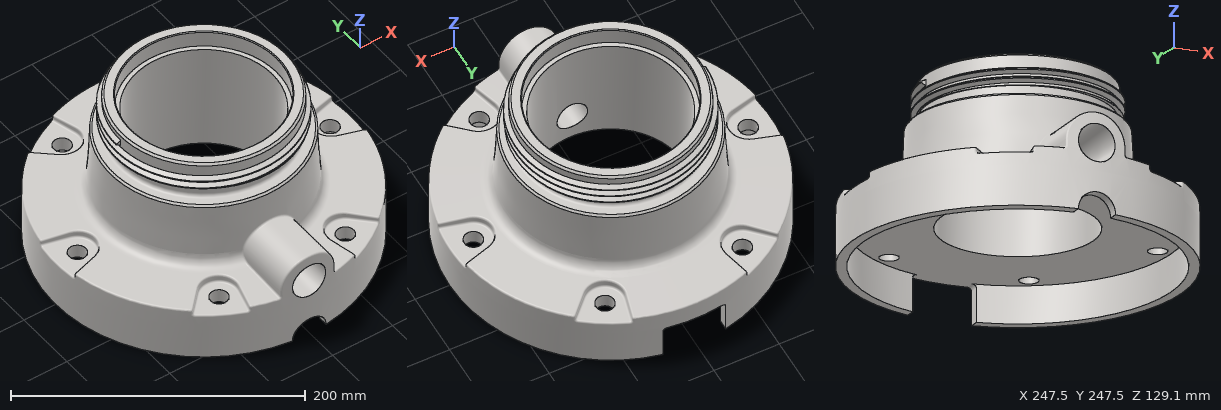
import cadquery as cq
import math

FLANGE_RADIUS = 123.75
PARTING_HEIGHT = 29.0
DRAFT_ANGLE = 1.0
FLANGE_EDGE_HEIGHT = 43.3
RIM_ROUND = 1.5

NECK_FOOT_RADIUS = 88.6
NECK_FOOT_HEIGHT = 45.2
NECK_BASE_RADIUS = 79.7
NECK_BASE_HEIGHT = 54.4
NECK_TOP_RADIUS = 77.4
SHOULDER_HEIGHT = 97.6
SHOULDER_CHAMFER = 1.5

PART_HEIGHT = 129.11
SPOUT_RADIUS = 69.3
SPOUT_CHAMFER = 1.6
RELIEF_RADIUS = 68.2
RELIEF_FILLET = 3.0
RELIEF_TOP = 106.0
THREAD_CREST_RADIUS = 72.8
THREAD_PITCH = 6.35
THREAD_TURNS = 3
THREAD_END_HEIGHT = 121.6
THREAD_CREST_WIDTH = 0.8
THREAD_ROOT_WIDTH = 5.2
THREAD_OVERLAP = 0.6

BORE_RADIUS = 57.0
COUNTERBORE_RADIUS = 60.5
COUNTERBORE_DEPTH = 13.5
COUNTERBORE_CHAMFER = 0.7
CAVITY_RADIUS = 116.0
CAVITY_HEIGHT = 27.4

PORT_HEIGHT = 49.6
PORT_RADIUS = 22.3
PORT_MOUTH_RADIUS = 13.8
PORT_BORE_TAPER = 1 / 32
PORT_ROOT_FILLET = 1.5

DRAIN_RADIUS = 14.0
BACK_NOTCH_WIDTH = 48.0
BACK_NOTCH_CORNER = 3.0

BOLT_COUNT = 6
BOLT_CIRCLE_RADIUS = 105.4
BOLT_HOLE_RADIUS = 6.9
SEAT_FLOOR = 38.8
SEAT_RADIUS = 14.6
SEAT_FLARE_ANGLE = 15.0
SEAT_FLOOR_FILLET = 1.8
SEAT_EDGE_ROUND = 1.5

CLEARANCE = 10.0
TOLERANCE = 0.1


def rim_radius(height):
    """Radius of the drafted rim at a height above the parting line."""
    return FLANGE_RADIUS - (height - PARTING_HEIGHT) * math.tan(math.radians(DRAFT_ANGLE))


def cylinder(radius, bottom, top):
    return cq.Workplane("XY").workplane(offset=bottom).circle(radius).extrude(top - bottom)


def turned_body():
    """Flange, neck and unthreaded spout as one solid of revolution."""
    profile = (
        cq.Workplane("XZ")
        .lineTo(FLANGE_RADIUS, 0)
        .lineTo(FLANGE_RADIUS, PARTING_HEIGHT)
        .lineTo(rim_radius(FLANGE_EDGE_HEIGHT), FLANGE_EDGE_HEIGHT)
        .lineTo(NECK_FOOT_RADIUS, NECK_FOOT_HEIGHT)
        .tangentArcPoint((NECK_BASE_RADIUS, NECK_BASE_HEIGHT), relative=False)
        .lineTo(NECK_TOP_RADIUS, SHOULDER_HEIGHT - SHOULDER_CHAMFER)
        .lineTo(NECK_TOP_RADIUS - SHOULDER_CHAMFER, SHOULDER_HEIGHT)
        .lineTo(RELIEF_RADIUS + RELIEF_FILLET, SHOULDER_HEIGHT)
        .radiusArc((RELIEF_RADIUS, SHOULDER_HEIGHT + RELIEF_FILLET), RELIEF_FILLET)
        .lineTo(RELIEF_RADIUS, RELIEF_TOP)
        .lineTo(SPOUT_RADIUS, RELIEF_TOP)
        .lineTo(SPOUT_RADIUS, PART_HEIGHT - SPOUT_CHAMFER)
        .lineTo(SPOUT_RADIUS - SPOUT_CHAMFER, PART_HEIGHT)
        .lineTo(0, PART_HEIGHT)
        .close()
    )
    return profile.revolve(360, (0, 0), (0, 1))


def port_boss():
    """Arched boss whose end face follows the drafted rim."""
    port_top = PORT_HEIGHT + PORT_RADIUS
    envelope_top = port_top + CLEARANCE
    envelope = (
        cq.Workplane("XZ")
        .moveTo(0, PARTING_HEIGHT)
        .lineTo(FLANGE_RADIUS, PARTING_HEIGHT)
        .lineTo(rim_radius(envelope_top), envelope_top)
        .lineTo(0, envelope_top)
        .close()
        .revolve(360, (0, 0), (0, 1))
    )
    arch = (
        cq.Workplane("XZ")
        .moveTo(-PORT_RADIUS, PARTING_HEIGHT)
        .lineTo(-PORT_RADIUS, PORT_HEIGHT)
        .threePointArc((0, port_top), (PORT_RADIUS, PORT_HEIGHT))
        .lineTo(PORT_RADIUS, PARTING_HEIGHT)
        .close()
        .extrude(FLANGE_RADIUS + CLEARANCE)
    )
    return arch.intersect(envelope)


def half_width(box):
    """Farthest reach of a bounding box from the YZ plane."""
    return max(-box.xmin, box.xmax)


def is_port_root(edge):
    """True where the port boss meets the neck and the flange top."""
    box = edge.BoundingBox()
    beside_port = half_width(box) < PORT_RADIUS + TOLERANCE
    near_neck = -NECK_FOOT_RADIUS < box.ymax < 0
    return beside_port and near_neck and edge.geomType() != "LINE"


def is_rim_edge(edge):
    """True on the upper outline of the rim: flange top, seat floors and port end."""
    box = edge.BoundingBox()
    above_floors = box.zmin > SEAT_FLOOR - TOLERANCE
    samples = [edge.startPoint(), edge.endPoint(), edge.positionAt(0.5)]
    on_rim = all(abs(math.hypot(p.x, p.y) - rim_radius(p.z)) < TOLERANCE for p in samples)
    return above_floors and on_rim


def outer_body():
    """Turned body with its port boss, blended together."""
    body = turned_body().union(port_boss())
    return body.edges().filter(is_port_root).fillet(PORT_ROOT_FILLET)


def seat_cutter():
    """Bolt seat on the +X axis: round at the inner end, flaring out through the rim."""
    flare = math.radians(SEAT_FLARE_ANGLE)
    outer_x = FLANGE_RADIUS + CLEARANCE
    tangent_x = BOLT_CIRCLE_RADIUS - SEAT_RADIUS * math.sin(flare)
    tangent_y = SEAT_RADIUS * math.cos(flare)
    outer_y = tangent_y + (outer_x - tangent_x) * math.tan(flare)
    cutter = (
        cq.Workplane("XY")
        .workplane(offset=SEAT_FLOOR)
        .moveTo(outer_x, -outer_y)
        .lineTo(tangent_x, -tangent_y)
        .threePointArc((BOLT_CIRCLE_RADIUS - SEAT_RADIUS, 0), (tangent_x, tangent_y))
        .lineTo(outer_x, outer_y)
        .close()
        .extrude(CLEARANCE)
    )
    return cutter.faces("<Z").edges("not >X").fillet(SEAT_FLOOR_FILLET)


def is_seat_edge(edge):
    """True on the top edges of the bolt seats, the sloping edges inside the flange top."""
    box = edge.BoundingBox()
    center = edge.Center()
    reach = math.hypot(center.x, center.y)
    on_flange_top = SEAT_FLOOR + SEAT_FLOOR_FILLET < box.zmin and box.zmax < NECK_FOOT_HEIGHT
    sloping = box.zmax - box.zmin > TOLERANCE
    inside_rim = NECK_FOOT_RADIUS < reach < FLANGE_RADIUS - 2 * RIM_ROUND
    at_port = center.y < 0 and abs(center.x) < PORT_RADIUS + 2 * PORT_ROOT_FILLET
    return on_flange_top and sloping and inside_rim and not at_port


def cut_bolt_seats(body):
    """Sink the bolt seats into the flange and round their top edges."""
    for index in range(BOLT_COUNT):
        angle = index * 360 / BOLT_COUNT
        body = body.cut(seat_cutter().rotate((0, 0, 0), (0, 0, 1), angle))
    return body.edges().filter(is_seat_edge).fillet(SEAT_EDGE_ROUND)


def cut_bolt_holes(body):
    holes = (
        cq.Workplane("XY")
        .polarArray(BOLT_CIRCLE_RADIUS, 0, 360, BOLT_COUNT)
        .circle(BOLT_HOLE_RADIUS)
        .extrude(PART_HEIGHT)
    )
    return body.cut(holes)


def cut_bore_and_cavity(body):
    """Open the central bore, its counterbore and the hollow underside."""
    counterbore = cylinder(COUNTERBORE_RADIUS, PART_HEIGHT - COUNTERBORE_DEPTH, PART_HEIGHT)
    mouth = cq.Workplane(
        cq.Solid.makeCone(
            COUNTERBORE_RADIUS,
            COUNTERBORE_RADIUS + COUNTERBORE_CHAMFER,
            COUNTERBORE_CHAMFER,
            pnt=cq.Vector(0, 0, PART_HEIGHT - COUNTERBORE_CHAMFER),
        )
    )
    body = body.cut(cylinder(BORE_RADIUS, 0, PART_HEIGHT))
    body = body.cut(counterbore).cut(mouth)
    return body.cut(cylinder(CAVITY_RADIUS, 0, CAVITY_HEIGHT))


def cut_port_bore(body):
    """Bore the port through to the central bore with a pipe taper."""
    length = FLANGE_RADIUS
    bore = cq.Solid.makeCone(
        PORT_MOUTH_RADIUS,
        PORT_MOUTH_RADIUS - length * PORT_BORE_TAPER,
        length,
        pnt=cq.Vector(0, -FLANGE_RADIUS, PORT_HEIGHT),
        dir=cq.Vector(0, 1, 0),
    )
    return body.cut(cq.Workplane(bore))


def cut_skirt_openings(body):
    """Round drain notch in the -Y side of the skirt and a wide notch in its +Y side."""
    drain = cq.Workplane("XZ").circle(DRAIN_RADIUS).extrude(FLANGE_RADIUS + CLEARANCE)
    back_notch = (
        cq.Workplane("XY")
        .rect(BACK_NOTCH_WIDTH, FLANGE_RADIUS + CLEARANCE)
        .extrude(CAVITY_HEIGHT)
        .translate((0, (FLANGE_RADIUS + CLEARANCE) / 2, 0))
        .edges("|Y and >Z")
        .fillet(BACK_NOTCH_CORNER)
    )
    return body.cut(drain).cut(back_notch)


def thread():
    """Right-hand external thread, trimmed flat at the top of the relief groove."""
    base_radius = SPOUT_RADIUS - THREAD_OVERLAP
    height = THREAD_TURNS * THREAD_PITCH
    helix = cq.Wire.makeHelix(THREAD_PITCH, height, base_radius)
    tooth = (
        cq.Workplane("XZ")
        .moveTo(base_radius, -THREAD_ROOT_WIDTH / 2)
        .lineTo(THREAD_CREST_RADIUS, -THREAD_CREST_WIDTH / 2)
        .lineTo(THREAD_CREST_RADIUS, THREAD_CREST_WIDTH / 2)
        .lineTo(base_radius, THREAD_ROOT_WIDTH / 2)
        .close()
    )
    ridge = tooth.sweep(cq.Workplane(helix), isFrenet=True)
    ridge = ridge.rotate((0, 0, 0), (0, 0, 1), 180)
    ridge = ridge.translate((0, 0, THREAD_END_HEIGHT - height))
    trim = cylinder(THREAD_CREST_RADIUS + CLEARANCE, SHOULDER_HEIGHT - CLEARANCE, RELIEF_TOP)
    return ridge.cut(trim)


result = outer_body()
result = cut_bolt_seats(result)
result = result.edges().filter(is_rim_edge).fillet(RIM_ROUND)
result = cut_bolt_holes(result)
result = cut_bore_and_cavity(result)
result = cut_port_bore(result)
result = cut_skirt_openings(result)
result = result.union(thread())